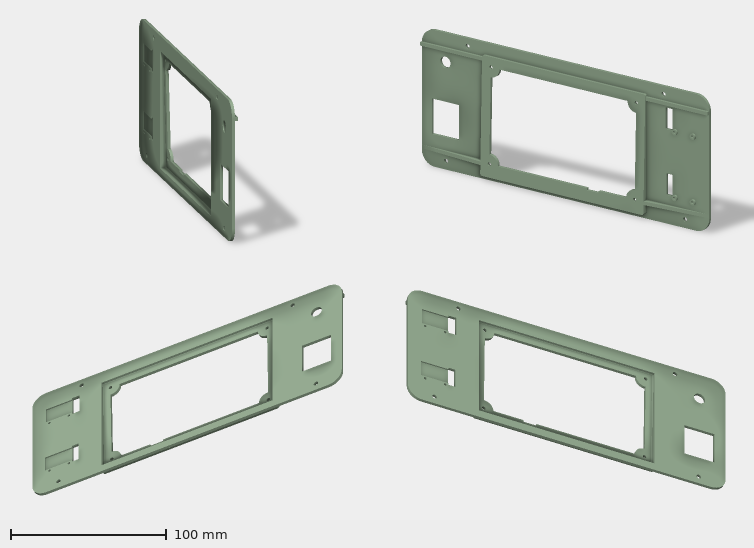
import cadquery as cq
import math

LENGTH = 223.5
HEIGHT = 93.9
PLATE_T = 2.0
CORNER_R = 10.0

TOTAL_DEPTH = 6.3
FRAME_X = (-63.5, 63.5)
FRAME_Z = (-43.4, 39.0)
FRAME_FILLET = 1.3
TILT = 1.5
FLOOR_T = 2.0

RECESS_X = (-61.7, 61.7)
RECESS_Z = (-41.4, 36.7)
RECESS_CHAMFER = 0.7
WINDOW_X = (-56.5, 56.5)
WINDOW_Z = (-34.2, 31.7)
EAR_R = 6.7
EAR_HOLE_D = 2.5
NOTCH_X = (-28.5, -19.5)
NOTCH_DEPTH = 1.3

BAR_DEPTH = 4.0
BAR_Z = (34.9, 37.3)
GUSSET_Z = (-36.2, -33.8)

SCREW_D = 3.1
SCREW_POINTS = [(-76.2, 41.4), (76.2, 41.4), (-93.0, -41.1), (93.0, -41.1)]
ROUND_HOLE_D = 7.8
ROUND_HOLE_POINT = (93.5, 26.5)
SQUARE_X = (83.0, 104.0)
SQUARE_Z = (-24.8, -0.5)

POCKET_DEPTH = 1.0
POCKET_HEIGHT = 12.0
POCKET_ABOVE_PIN = 1.8
SLOT_OVERHANG = 1.3
POCKET_RIGHT = -83.1
SEATS = [
    (-102.0, -77.8, 17.5),
    (-102.5, -78.5, -27.7),
]
PIN_X = (-99.5, -85.4)
PIN_HOLE_D = 1.8
PIN_POST_D = 4.0
PIN_POST_DEPTH = 3.4


def block(x, y, z):
    """Box between the given (low, high) limits on each axis."""
    return cq.Workplane("XY").box(
        x[1] - x[0], y[1] - y[0], z[1] - z[0], centered=False
    ).translate((x[0], y[0], z[0]))


def pins(points, diameter, depth):
    """Cylinders running from the front face towards +Y."""
    return cq.Workplane("XZ").pushPoints(points).circle(diameter / 2).extrude(-depth)


def back_y(z):
    """Depth of the leaning back face of the frame at height z."""
    return TOTAL_DEPTH - (z - FRAME_Z[0]) * math.tan(math.radians(TILT))


def leaning(x, z, y_front, offset):
    """Solid from y_front to a plane parallel to the frame's back, offset towards the front."""
    profile = [
        (y_front, z[0]),
        (back_y(z[0]) - offset, z[0]),
        (back_y(z[1]) - offset, z[1]),
        (y_front, z[1]),
    ]
    return cq.Workplane("YZ", origin=(x[0], 0, 0)).polyline(profile).close().extrude(x[1] - x[0])


def outline(depth):
    """Rounded plate outline, from the front face to the given depth."""
    return cq.Workplane("XZ").rect(LENGTH, HEIGHT).extrude(-depth).edges("|Y").fillet(CORNER_R)


def gusset(side):
    """Long wedge from a plate end (side is -1 or 1) up to the back of the frame."""
    frame_end = side * FRAME_X[1]
    profile = [
        (side * LENGTH / 2, PLATE_T),
        (frame_end, back_y(GUSSET_Z[0])),
        (frame_end, PLATE_T),
    ]
    return (
        cq.Workplane("XY", origin=(0, 0, GUSSET_Z[0]))
        .polyline(profile).close().extrude(GUSSET_Z[1] - GUSSET_Z[0])
    )


def opening():
    """Display opening with a quarter-round screw ear left in each corner."""
    corners = [(x, z) for x in WINDOW_X for z in WINDOW_Z]
    window = block(WINDOW_X, (0, TOTAL_DEPTH), WINDOW_Z)
    window = window.cut(pins(corners, 2 * EAR_R, TOTAL_DEPTH))
    notch = block(NOTCH_X, (0, TOTAL_DEPTH), (WINDOW_Z[0] - NOTCH_DEPTH, WINDOW_Z[0] + NOTCH_DEPTH))
    return window.union(notch).union(pins(corners, EAR_HOLE_D, TOTAL_DEPTH))


bar = outline(BAR_DEPTH).intersect(block((-LENGTH / 2, LENGTH / 2), (0, BAR_DEPTH), BAR_Z))
frame = leaning(FRAME_X, FRAME_Z, 0, 0).edges("|Y").fillet(FRAME_FILLET)
body = outline(PLATE_T).union(bar).union(frame).union(gusset(-1)).union(gusset(1))

recess = leaning(RECESS_X, RECESS_Z, 0, FLOOR_T).faces(">Y").chamfer(RECESS_CHAMFER)
body = body.cut(recess).cut(opening())

for left, slot_right, pin_z in SEATS:
    pin_points = [(x, pin_z) for x in PIN_X]
    pocket_z = (pin_z + POCKET_ABOVE_PIN, pin_z + POCKET_ABOVE_PIN + POCKET_HEIGHT)
    slot_z = (pocket_z[0] - SLOT_OVERHANG, pocket_z[1] + SLOT_OVERHANG)
    body = body.union(pins(pin_points, PIN_POST_D, PIN_POST_DEPTH))
    body = body.cut(block((left, POCKET_RIGHT), (0, POCKET_DEPTH), pocket_z))
    body = body.cut(block((POCKET_RIGHT, slot_right), (0, TOTAL_DEPTH), slot_z))
    body = body.cut(pins(pin_points, PIN_HOLE_D, TOTAL_DEPTH))

body = body.cut(pins(SCREW_POINTS, SCREW_D, TOTAL_DEPTH))
body = body.cut(pins([ROUND_HOLE_POINT], ROUND_HOLE_D, TOTAL_DEPTH))
body = body.cut(block(SQUARE_X, (0, TOTAL_DEPTH), SQUARE_Z))

result = body